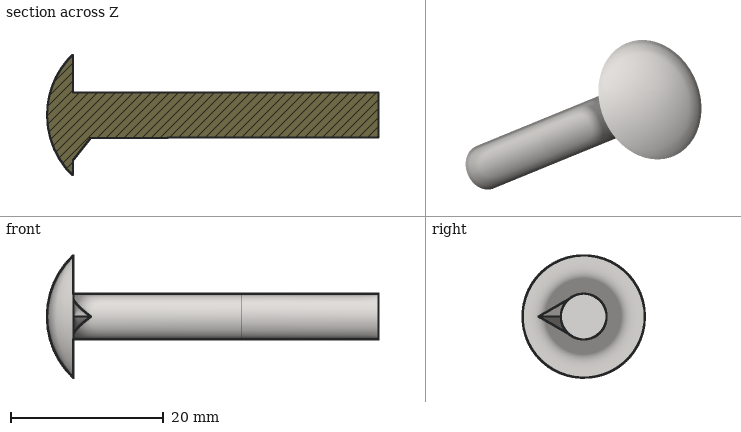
import cadquery as cq
import math

head_diameter = 16.06
head_height = 3.48
shank_diameter = 6.0
shank_length = 40.0
thread_length = 18.0

nib_reach = 5.9
nib_length = 2.3
nib_root = 1.5
nib_angle = 60.0

head_radius = head_diameter / 2
shank_radius = shank_diameter / 2
plain_length = shank_length - thread_length


def make_bolt_body():
    """Revolve the domed head, plain shank and thread-size end about the X axis."""
    dome_radius = (head_radius**2 + head_height**2) / (2 * head_height)
    dome_center_x = dome_radius - head_height
    half_sweep = math.asin(head_radius / dome_radius) / 2
    dome_mid_point = (
        dome_center_x - dome_radius * math.cos(half_sweep),
        dome_radius * math.sin(half_sweep),
    )
    profile = (
        cq.Workplane("XY")
        .moveTo(-head_height, 0)
        .threePointArc(dome_mid_point, (0, head_radius))
        .lineTo(0, shank_radius)
        .lineTo(plain_length, shank_radius)
        .lineTo(shank_length, shank_radius)
        .lineTo(shank_length, 0)
        .close()
    )
    return profile.revolve(360, (0, 0, 0), (1, 0, 0), clean=False)


def make_nib():
    """Pyramid whose triangular base lies on the head and whose tip is buried in the shank."""
    base_half_width = (nib_reach - nib_root) * math.tan(math.radians(nib_angle / 2))
    tip_x = nib_length * (nib_reach - nib_root) / (nib_reach - shank_radius)
    ridge_end = cq.Vector(0, -nib_reach, 0)
    base_low = cq.Vector(0, -nib_root, -base_half_width)
    base_high = cq.Vector(0, -nib_root, base_half_width)
    tip = cq.Vector(tip_x, -nib_root, 0)
    triangles = [
        (ridge_end, base_low, base_high),
        (ridge_end, base_low, tip),
        (ridge_end, base_high, tip),
        (base_low, base_high, tip),
    ]
    faces = [
        cq.Face.makeFromWires(cq.Wire.makePolygon(corners, close=True))
        for corners in triangles
    ]
    return cq.Workplane(cq.Solid.makeSolid(cq.Shell.makeShell(faces)))


result = make_bolt_body().union(make_nib(), clean=False)